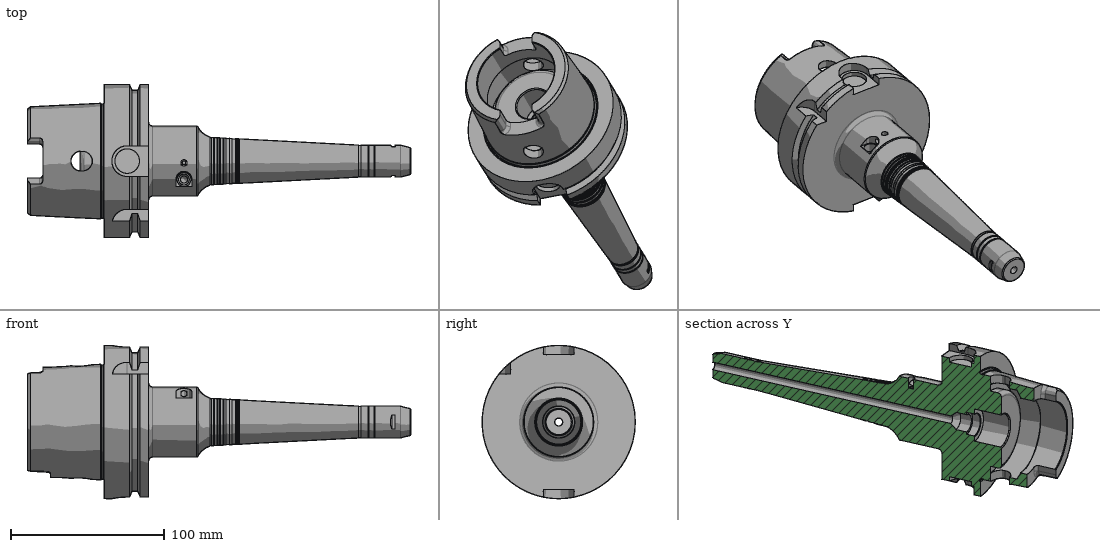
import cadquery as cq
import math


shank_length = 50.0
shank_taper = 0.1
shank_gauge_radius = 37.75
shank_end_chamfer_length = 2.0
shank_end_chamfer_height = 1.5
relief_length = 2.4
relief_depth = 0.4
relief_wall_length = 0.7

flange_radius = 50.0
flange_width = 29.0
face_groove_radius = 39.5
face_groove_depth = 0.5
gripper_groove_center = 20.0
gripper_groove_floor_radius = 46.3
gripper_groove_floor_width = 3.75
gripper_groove_mouth_width = 7.0

neck_radius = 45.8 / 2
neck_fillet = 2.6
neck_end = 61.0
neck_edge_chamfer_length = 0.8
neck_edge_chamfer_height = 0.4
nose_start = 69.5
nose_root_radius = 15.55
shoulder_mid = (64.0, 18.6)
nose_cone_angle = 3.0
tip_radius = 21.0 / 2
nose_cone_slope = math.tan(math.radians(nose_cone_angle))
nose_cone_end = nose_start + (nose_root_radius - tip_radius) / nose_cone_slope
tip_taper_start = 193.0
tip_taper_end = 199.3
tip_taper_end_radius = 8.9
tip_end_radius = 8.2
overall_reach = 200.0

ring_depth = 0.2
fine_ring_width = 0.75
root_rings = (
    (69.1, fine_ring_width),
    (71.3, fine_ring_width),
    (73.5, fine_ring_width),
    (75.0, fine_ring_width),
    (77.3, fine_ring_width),
    (79.5, 2.2),
    (83.2, 2.3),
    (86.2, fine_ring_width),
    (87.4, fine_ring_width),
)
tip_rings = (
    (nose_cone_end, 1.5),
    (172.0, fine_ring_width),
    (175.8, fine_ring_width),
)

tip_flat_start = 186.5
tip_flat_width = 3.2
tip_flat_chord = 9.0

bore_radius = 53.0 / 2
bore_length = 20.0
bore_mouth_chamfer = 0.5
undercut_radius = 31.5
undercut_angle = 60.0
undercut_end = -7.5
boss_face = -15.8
boss_radius = 27.0
boss_rim_fillet = 2.8
thread_mouth_radius = 24.0 / 2
thread_chamfer = 0.7
thread_depth = 20.0
seat_mouth_radius = 16.0 / 2
seat_radius = 15.3 / 2
seat_depth = 6.0
feed_radius = 12.0 / 2
feed_depth = 8.0
coolant_radius = 5.0 / 2
coolant_cone_length = 4.0

keyway_half_width = 11.0
keyway_flare_radius = 4.0
keyway_flare_start = 28.0
keyway_floor_fillet = 2.2
top_keyway_depth = 10.0
bottom_keyway_depth = 15.0

access_hole_x = -14.7
access_hole_width = 12.8
access_hole_length = 13.8

slot_center_x = 15.0
slot_half_width = 10.0
slot_floor_z = 44.0
dimple_radius = 16.0 / 2
dimple_depth = 3.0
notch_wall_y = -31.4
notch_floor_z = 31.2

pocket_x = 52.0
pocket_y = -12.0
pocket_radius = 10.4 / 2
pocket_floor_z = 15.8
screw_bore_radius = 9.0 / 2
screw_bore_depth = 6.0
socket_mouth_radius = 3.5
socket_radius = 4.62 / 2
socket_depth = 3.0
vent_radius = 4.1 / 2
vent_y = -1.1
vent_floor_z = 16.0
vent_socket_radius = 2.31 / 2
vent_socket_depth = 2.0
cross_hole_radius = 4.0 / 2
cross_hole_z = 18.5

clearance = 5.0


def revolve_about_x(profile):
    return profile.close().revolve(360, (0, 0, 0), (1, 0, 0))


def shank_radius(x):
    return shank_gauge_radius + (x + relief_length) * shank_taper / 2


def nose_radius(x):
    cone_radius = nose_root_radius - (x - nose_start) * nose_cone_slope
    return max(cone_radius, tip_radius)


def outer_body():
    chamfer_start = shank_end_chamfer_length - shank_length
    arc_offset = neck_fillet * (1 - math.sqrt(0.5))
    relief_radius = shank_gauge_radius - relief_depth
    face_groove_floor_radius = shank_gauge_radius + face_groove_depth
    half_mouth = gripper_groove_mouth_width / 2
    half_floor = gripper_groove_floor_width / 2
    profile = (
        cq.Workplane("XY")
        .moveTo(-shank_length, 0)
        .lineTo(-shank_length, shank_radius(chamfer_start) - shank_end_chamfer_height)
        .lineTo(chamfer_start, shank_radius(chamfer_start))
        .lineTo(-relief_length, shank_gauge_radius)
        .lineTo(relief_wall_length - relief_length, relief_radius)
        .lineTo(-relief_wall_length, relief_radius)
        .lineTo(0, shank_gauge_radius)
        .lineTo(face_groove_depth, face_groove_floor_radius)
        .lineTo(face_groove_depth, face_groove_radius - face_groove_depth)
        .lineTo(0, face_groove_radius)
        .lineTo(0, flange_radius)
        .lineTo(gripper_groove_center - half_mouth, flange_radius)
        .lineTo(gripper_groove_center - half_floor, gripper_groove_floor_radius)
        .lineTo(gripper_groove_center + half_floor, gripper_groove_floor_radius)
        .lineTo(gripper_groove_center + half_mouth, flange_radius)
        .lineTo(flange_width, flange_radius)
        .lineTo(flange_width, neck_radius + neck_fillet)
        .threePointArc(
            (flange_width + arc_offset, neck_radius + arc_offset),
            (flange_width + neck_fillet, neck_radius),
        )
        .lineTo(neck_end - neck_edge_chamfer_length, neck_radius)
        .lineTo(neck_end, neck_radius - neck_edge_chamfer_height)
        .threePointArc(shoulder_mid, (nose_start, nose_root_radius))
        .lineTo(nose_cone_end, tip_radius)
        .lineTo(tip_taper_start, tip_radius)
        .lineTo(tip_taper_end, tip_taper_end_radius)
        .lineTo(overall_reach, tip_end_radius)
        .lineTo(overall_reach, 0)
    )
    return revolve_about_x(profile)


def cavity():
    cone_start = bore_length - shank_length
    cone_length = (undercut_radius - bore_radius) / math.tan(math.radians(undercut_angle))
    rim_offset = boss_rim_fillet * (1 - math.sqrt(0.5))
    thread_end = boss_face + thread_depth
    seat_end = thread_end + seat_depth
    feed_end = seat_end + feed_depth
    profile = (
        cq.Workplane("XY")
        .moveTo(-shank_length, 0)
        .lineTo(-shank_length, bore_radius + bore_mouth_chamfer)
        .lineTo(bore_mouth_chamfer - shank_length, bore_radius)
        .lineTo(cone_start, bore_radius)
        .lineTo(cone_start + cone_length, undercut_radius)
        .lineTo(undercut_end, undercut_radius)
        .lineTo(undercut_end, boss_radius)
        .lineTo(boss_face + boss_rim_fillet, boss_radius)
        .threePointArc(
            (boss_face + rim_offset, boss_radius - rim_offset),
            (boss_face, boss_radius - boss_rim_fillet),
        )
        .lineTo(boss_face, thread_mouth_radius)
        .lineTo(boss_face + thread_chamfer, thread_mouth_radius - thread_chamfer)
        .lineTo(thread_end, thread_mouth_radius - thread_chamfer)
        .lineTo(thread_end, seat_mouth_radius)
        .lineTo(thread_end + seat_mouth_radius - seat_radius, seat_radius)
        .lineTo(seat_end, seat_radius)
        .lineTo(seat_end, feed_radius)
        .lineTo(feed_end, feed_radius)
        .lineTo(feed_end + coolant_cone_length, coolant_radius)
        .lineTo(overall_reach, coolant_radius)
        .lineTo(overall_reach, 0)
    )
    return revolve_about_x(profile)


def ring_groove(start, width):
    floor_radius = nose_radius(start + width / 2) - ring_depth
    return (
        cq.Workplane("YZ", origin=(start, 0, 0))
        .circle(nose_root_radius + clearance)
        .circle(floor_radius)
        .extrude(width)
    )


def tip_flat():
    """Flat on the -Y side with one upright end and one sloping end."""
    flat_y = -math.sqrt(tip_radius**2 - (tip_flat_chord / 2) ** 2)
    flat_end = tip_flat_start + tip_flat_width
    slope_rise = tip_radius + flat_y
    return (
        cq.Workplane("XY")
        .moveTo(flat_end, flat_y)
        .lineTo(tip_flat_start + slope_rise, flat_y)
        .lineTo(tip_flat_start, -tip_radius)
        .lineTo(tip_flat_start, -tip_radius - clearance)
        .lineTo(flat_end, -tip_radius - clearance)
        .close()
        .extrude(tip_radius, both=True)
    )


def keyway(depth):
    flare_y = keyway_half_width + keyway_flare_radius
    flare_z = keyway_flare_start + keyway_flare_radius
    arc_offset = keyway_flare_radius * (1 - math.sqrt(0.5))
    top_z = shank_gauge_radius + clearance
    return (
        cq.Workplane("YZ", origin=(-shank_length - clearance, 0, 0))
        .moveTo(-keyway_half_width, 0)
        .lineTo(keyway_half_width, 0)
        .lineTo(keyway_half_width, keyway_flare_start)
        .threePointArc((keyway_half_width + arc_offset, flare_z - arc_offset), (flare_y, flare_z))
        .lineTo(flare_y, top_z)
        .lineTo(-flare_y, top_z)
        .lineTo(-flare_y, flare_z)
        .threePointArc((-keyway_half_width - arc_offset, flare_z - arc_offset),
                       (-keyway_half_width, keyway_flare_start))
        .close()
        .extrude(depth + clearance)
        .faces(">X")
        .edges()
        .fillet(keyway_floor_fillet)
    )


def round_ended_slot(center_y, floor_z):
    """Upright slot with a half-round end, open through the nose side of the flange."""
    height = flange_radius + clearance - floor_z
    run = flange_width - slot_center_x
    plane = cq.Workplane("XY", origin=(slot_center_x, center_y, floor_z))
    end = plane.circle(slot_half_width).extrude(height)
    channel = plane.rect(2 * run, 2 * slot_half_width).extrude(height)
    channel = channel.intersect(plane.center(run, 0).rect(2 * run, 4 * slot_half_width).extrude(height))
    return end.union(channel)


def gripper_slot():
    dimple = (
        cq.Workplane("XY", origin=(slot_center_x, 0, slot_floor_z - dimple_depth))
        .circle(dimple_radius)
        .extrude(dimple_depth)
    )
    return round_ended_slot(0, slot_floor_z).union(dimple)


def upright_hole(x, y, radius, bottom_z, top_z):
    return cq.Workplane("XY", origin=(x, y, bottom_z)).circle(radius).extrude(top_z - bottom_z)


def conical_hole(x, y, mouth_radius, end_radius, mouth_z, depth):
    return (
        cq.Workplane("XY", origin=(x, y, mouth_z))
        .circle(mouth_radius)
        .workplane(offset=-depth)
        .circle(end_radius)
        .loft()
    )


def screw_pocket():
    """Pocket with a half-round end, open towards -Y, above a screw bore with a countersunk socket."""
    above = neck_radius + clearance
    mouth_depth = socket_mouth_radius - socket_radius
    bore_floor_z = pocket_floor_z - screw_bore_depth
    socket_z = bore_floor_z - mouth_depth - socket_depth
    open_side = (
        cq.Workplane("XY", origin=(pocket_x, pocket_y - neck_radius / 2, pocket_floor_z))
        .rect(2 * pocket_radius, neck_radius)
        .extrude(above - pocket_floor_z)
    )
    mouth = conical_hole(
        pocket_x, pocket_y, socket_mouth_radius, socket_radius, bore_floor_z, mouth_depth
    )
    drill_point = cq.Workplane("XY").add(
        cq.Solid.makeCone(
            socket_radius, 0, socket_radius, cq.Vector(pocket_x, pocket_y, socket_z), cq.Vector(0, 0, -1)
        )
    )
    return (
        upright_hole(pocket_x, pocket_y, pocket_radius, pocket_floor_z, above)
        .union(open_side)
        .union(upright_hole(pocket_x, pocket_y, screw_bore_radius, bore_floor_z, above))
        .union(mouth)
        .union(upright_hole(pocket_x, pocket_y, socket_radius, socket_z, bore_floor_z))
        .union(drill_point)
    )


def vent():
    above = neck_radius + clearance
    hole = upright_hole(pocket_x, vent_y, vent_radius, vent_floor_z, above)
    socket_z = vent_floor_z - vent_socket_depth
    socket = upright_hole(pocket_x, vent_y, vent_socket_radius, socket_z, above)
    cross_hole = (
        cq.Workplane("XZ", origin=(pocket_x, vent_y, cross_hole_z))
        .circle(cross_hole_radius)
        .extrude(vent_y - pocket_y)
    )
    return hole.union(socket).union(cross_hole)


def turned_over(cutter):
    return cutter.rotate((0, 0, 0), (1, 0, 0), 180)


result = outer_body().cut(cavity())

for ring_start, ring_width in root_rings + tip_rings:
    result = result.cut(ring_groove(ring_start, ring_width))
result = result.cut(tip_flat()).cut(turned_over(tip_flat()))

result = result.cut(keyway(top_keyway_depth)).cut(turned_over(keyway(bottom_keyway_depth)))

access_hole = (
    cq.Workplane("XY", origin=(access_hole_x, 0, boss_radius))
    .slot2D(access_hole_length, access_hole_width)
    .extrude(shank_gauge_radius - boss_radius)
)
result = result.cut(access_hole).cut(turned_over(access_hole))

result = result.cut(gripper_slot()).cut(turned_over(gripper_slot()))
result = result.cut(round_ended_slot(notch_wall_y - slot_half_width, notch_floor_z))
result = result.cut(screw_pocket()).cut(vent())